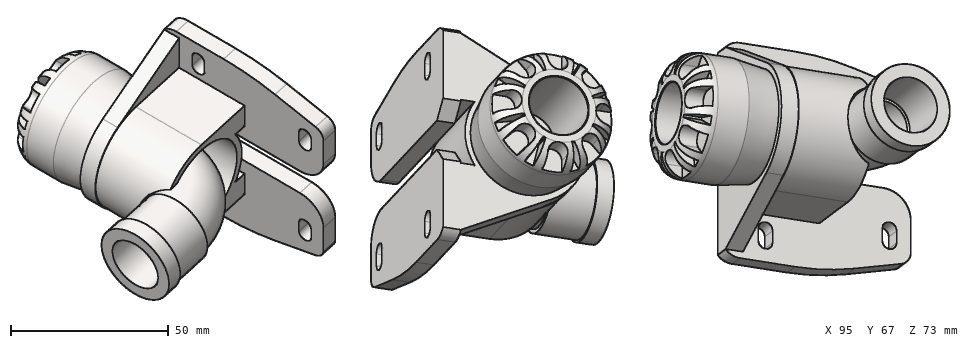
import cadquery as cq
import math


NUT_LENGTH = 30.1
NUT_RADIUS = 41.0 / 2
NUT_NOSE_ROUND = 8.0
NUT_TAPER_START = 18.8
NUT_REAR_RADIUS = 18.7
NUT_BORE_RADIUS = 20.0 / 2
NUT_BORE_CHAMFER = 0.24
GRIP_COUNT = 8
GRIP_DEPTH = 6.4
GRIP_SLOT_WIDTH = 6.65
GRIP_WEDGE_INNER_WIDTH = 0.8
GRIP_WEDGE_OUTER_WIDTH = 3.4
NOSE_FLAT_RADIUS = NUT_RADIUS - NUT_NOSE_ROUND
GRIP_INNER_RADIUS = 12.6
GRIP_OVERCUT = 0.95
GRIP_OUTER_REACH = NUT_RADIUS + GRIP_OVERCUT

PLATE_THICKNESS = 6.1
PLATE_BACK_Y = 28.0
PLATE_FRONT_Y = PLATE_BACK_Y - PLATE_THICKNESS
PLATE_LEFT_X = NUT_LENGTH
PLATE_RIGHT_X = 95.0
PLATE_HALF_HEIGHT = 36.5
PLATE_LEFT_ROUND = 6.4
LEFT_EDGE_HALF_HEIGHT = 34.2
SWEEP_START_X = 54.2
SWEEP_RADIUS = 86.45
SWEEP_ANGLE = math.radians(14.0)
PLATE_RIGHT_ROUND = 4.4
GAP_HALF_WIDTH = 5.0
GAP_ROUND = 9.7
GAP_CHAMFER = 5.5
SLOT_WIDTH = 4.9
SLOT_LENGTH = 9.0
LEFT_SLOT_X, LEFT_SLOT_Z = 44.1, 27.5
RIGHT_SLOT_X, RIGHT_SLOT_Z = 87.5, 20.9
WEB_THICKNESS = 6.1
WEB_ROUND_RADIUS = 20.8
CHANNEL_HALF_WIDTH = 11.0

BARREL_RADIUS = NUT_RADIUS
BARREL_END_X = 62.9
BARREL_LENGTH = BARREL_END_X - PLATE_LEFT_X
PIPE_OPENING_RADIUS = 27.0 / 2
SLEEVE_RADIUS = 36.1 / 2
SLEEVE_BORE_RADIUS = 16.0 / 2
OUTLET_X = 67.0
ELBOW_BEND_RADIUS = 18.0
ELBOW_RADIUS = 23.5 / 2
ELBOW_BORE_RADIUS = 16.8 / 2
ELBOW_START_X = OUTLET_X - ELBOW_BEND_RADIUS
PIPE_START_Y = -18.4
PIPE_RADIUS = 26.1 / 2
COLLAR_RADIUS = 27.55 / 2
COLLAR_LENGTH = 5.7
OUTLET_END_Y = -38.95
OUTLET_BORE_RADIUS = 18.6 / 2


def cylinder_x(radius, x_start, x_end):
    """Cylinder on the barrel axis."""
    return cq.Workplane("YZ", origin=(x_start, 0, 0)).circle(radius).extrude(x_end - x_start)


def cylinder_outlet(radius, y_start, y_end):
    """Cylinder on the outlet axis, running towards -Y."""
    return cq.Workplane("XZ", origin=(OUTLET_X, y_start, 0)).circle(radius).extrude(y_start - y_end)



def nut_blank():
    """Turned shape: rounded nose, cylinder, tapered rear and bore with a chamfered mouth."""
    middle = math.sqrt(0.5)
    return (
        cq.Workplane("XY")
        .moveTo(NUT_BORE_CHAMFER, NUT_BORE_RADIUS)
        .lineTo(0, NUT_BORE_RADIUS + NUT_BORE_CHAMFER)
        .lineTo(0, NOSE_FLAT_RADIUS)
        .threePointArc(
            (NUT_NOSE_ROUND * (1 - middle), NOSE_FLAT_RADIUS + NUT_NOSE_ROUND * middle),
            (NUT_NOSE_ROUND, NUT_RADIUS),
        )
        .lineTo(NUT_TAPER_START, NUT_RADIUS)
        .lineTo(NUT_LENGTH, NUT_REAR_RADIUS)
        .lineTo(NUT_LENGTH, NUT_BORE_RADIUS)
        .close()
        .revolve(360, (0, 0, 0), (1, 0, 0))
    )


def grip_slot():
    """Radial slot with a round inner end, pointing to +Y."""
    half = GRIP_SLOT_WIDTH / 2
    round_center = GRIP_INNER_RADIUS + half
    return (
        cq.Workplane("YZ")
        .moveTo(GRIP_OUTER_REACH, half)
        .lineTo(round_center, half)
        .threePointArc((GRIP_INNER_RADIUS, 0), (round_center, -half))
        .lineTo(GRIP_OUTER_REACH, -half)
        .close()
        .extrude(GRIP_DEPTH)
    )


def grip_wedge():
    """Narrow radial groove that widens outwards, pointing to +Y."""
    inner = GRIP_WEDGE_INNER_WIDTH / 2
    outer = GRIP_WEDGE_OUTER_WIDTH / 2
    return (
        cq.Workplane("YZ")
        .polyline([
            (GRIP_INNER_RADIUS, -inner),
            (GRIP_OUTER_REACH, -outer),
            (GRIP_OUTER_REACH, outer),
            (GRIP_INNER_RADIUS, inner),
        ])
        .close()
        .extrude(GRIP_DEPTH)
    )


def make_nut():
    """Blank with the slots and wedges cut alternately around its nose."""
    nut = nut_blank()
    pitch = 360 / GRIP_COUNT
    for index in range(GRIP_COUNT):
        slot_angle = index * pitch
        wedge_angle = slot_angle + pitch / 2
        nut = nut.cut(grip_slot().rotate((0, 0, 0), (1, 0, 0), slot_angle))
        nut = nut.cut(grip_wedge().rotate((0, 0, 0), (1, 0, 0), wedge_angle))
    return nut


def elbow_bend(radius):
    """Quarter ring that turns from the barrel axis to the outlet axis."""
    return (
        cq.Workplane("YZ", origin=(ELBOW_START_X, 0, 0))
        .circle(radius)
        .revolve(90, (-ELBOW_BEND_RADIUS, 0.95, 0), (-ELBOW_BEND_RADIUS, 0, 0))
    )


def make_fitting():
    """Nut with the sleeve that fills the bracket bore, and the elbow that leads to the outlet."""
    collar_start_y = OUTLET_END_Y + COLLAR_LENGTH
    body = (
        make_nut()
        .union(cylinder_x(SLEEVE_RADIUS, NUT_LENGTH, ELBOW_START_X))
        .union(elbow_bend(ELBOW_RADIUS))
        .union(cylinder_outlet(ELBOW_RADIUS, -ELBOW_BEND_RADIUS, PIPE_START_Y))
        .union(cylinder_outlet(PIPE_RADIUS, PIPE_START_Y, collar_start_y))
        .union(cylinder_outlet(COLLAR_RADIUS, collar_start_y, OUTLET_END_Y))
    )
    return (
        body
        .cut(cylinder_x(SLEEVE_BORE_RADIUS, NUT_LENGTH, ELBOW_START_X))
        .cut(elbow_bend(ELBOW_BORE_RADIUS))
        .cut(cylinder_outlet(OUTLET_BORE_RADIUS, -ELBOW_BEND_RADIUS, OUTLET_END_Y))
    )



def plate_half():
    """Upper half of the base plate with its two slots, clear of the gap on the XY plane."""
    sin_sweep = math.sin(SWEEP_ANGLE)
    cos_sweep = math.cos(SWEEP_ANGLE)

    left_drop = PLATE_HALF_HEIGHT - LEFT_EDGE_HALF_HEIGHT
    left_round_run = math.sqrt(left_drop * (2 * PLATE_LEFT_ROUND - left_drop))
    sweep_end_x = SWEEP_START_X + SWEEP_RADIUS * sin_sweep
    sweep_end_z = PLATE_HALF_HEIGHT - SWEEP_RADIUS * (1 - cos_sweep)
    corner_x = PLATE_RIGHT_X - PLATE_RIGHT_ROUND * (1 - sin_sweep)
    corner_z = sweep_end_z - (corner_x - sweep_end_x) * math.tan(SWEEP_ANGLE)
    corner_end_z = corner_z - PLATE_RIGHT_ROUND * cos_sweep

    plate = (
        cq.Workplane("XZ", origin=(0, PLATE_BACK_Y, 0))
        .moveTo(PLATE_LEFT_X, GAP_HALF_WIDTH + GAP_CHAMFER)
        .lineTo(PLATE_LEFT_X, LEFT_EDGE_HALF_HEIGHT)
        .radiusArc((PLATE_LEFT_X + left_round_run, PLATE_HALF_HEIGHT), PLATE_LEFT_ROUND)
        .lineTo(SWEEP_START_X, PLATE_HALF_HEIGHT)
        .radiusArc((sweep_end_x, sweep_end_z), SWEEP_RADIUS)
        .lineTo(corner_x, corner_z)
        .radiusArc((PLATE_RIGHT_X, corner_end_z), PLATE_RIGHT_ROUND)
        .lineTo(PLATE_RIGHT_X, GAP_HALF_WIDTH + GAP_ROUND)
        .radiusArc((PLATE_RIGHT_X - GAP_ROUND, GAP_HALF_WIDTH), GAP_ROUND)
        .lineTo(PLATE_LEFT_X + GAP_CHAMFER, GAP_HALF_WIDTH)
        .close()
        .extrude(PLATE_THICKNESS)
    )
    slots = (
        cq.Workplane("XZ", origin=(0, PLATE_BACK_Y, 0))
        .pushPoints([(LEFT_SLOT_X, LEFT_SLOT_Z), (RIGHT_SLOT_X, RIGHT_SLOT_Z)])
        .slot2D(SLOT_LENGTH, SLOT_WIDTH, 90)
        .extrude(PLATE_THICKNESS)
    )
    return plate.cut(slots)


def web():
    """Cross wall whose slanted sides run from the base plate tangent to a round around the barrel."""
    reach = math.hypot(PLATE_FRONT_Y, LEFT_EDGE_HALF_HEIGHT)
    tangent_angle = math.atan2(LEFT_EDGE_HALF_HEIGHT, PLATE_FRONT_Y) + math.acos(WEB_ROUND_RADIUS / reach)
    tangent_y = WEB_ROUND_RADIUS * math.cos(tangent_angle)
    tangent_z = WEB_ROUND_RADIUS * math.sin(tangent_angle)
    return (
        cq.Workplane("YZ", origin=(PLATE_LEFT_X, 0, 0))
        .moveTo(PLATE_FRONT_Y, LEFT_EDGE_HALF_HEIGHT)
        .lineTo(tangent_y, tangent_z)
        .threePointArc((-WEB_ROUND_RADIUS, 0), (tangent_y, -tangent_z))
        .lineTo(PLATE_FRONT_Y, -LEFT_EDGE_HALF_HEIGHT)
        .close()
        .extrude(WEB_THICKNESS)
    )


def block_behind_barrel(half_width):
    """Block along the barrel that reaches from its axis to the base plate."""
    return (
        cq.Workplane("XY", origin=(PLATE_LEFT_X, 0, 0))
        .box(BARREL_LENGTH, PLATE_FRONT_Y, 2 * half_width, centered=(False, False, True))
    )


def make_bracket():
    """Split base plate, web and bored barrel, with a front opening that the outlet pipe passes through."""
    upper_plate = plate_half()
    lower_plate = upper_plate.mirror("XY")
    saddle = block_behind_barrel(BARREL_RADIUS)
    channel = block_behind_barrel(CHANNEL_HALF_WIDTH)
    barrel = cylinder_x(BARREL_RADIUS, PLATE_LEFT_X, BARREL_END_X)
    barrel_bore = cylinder_x(SLEEVE_RADIUS, PLATE_LEFT_X, BARREL_END_X)
    pipe_opening = cylinder_outlet(PIPE_OPENING_RADIUS, 0, OUTLET_END_Y)
    return (
        web()
        .union(saddle)
        .cut(channel)
        .union(barrel)
        .union(upper_plate)
        .union(lower_plate)
        .cut(barrel_bore)
        .cut(pipe_opening)
    )


fitting = make_fitting()
bracket = make_bracket()

result = cq.Compound.makeCompound([fitting.val(), bracket.val()])